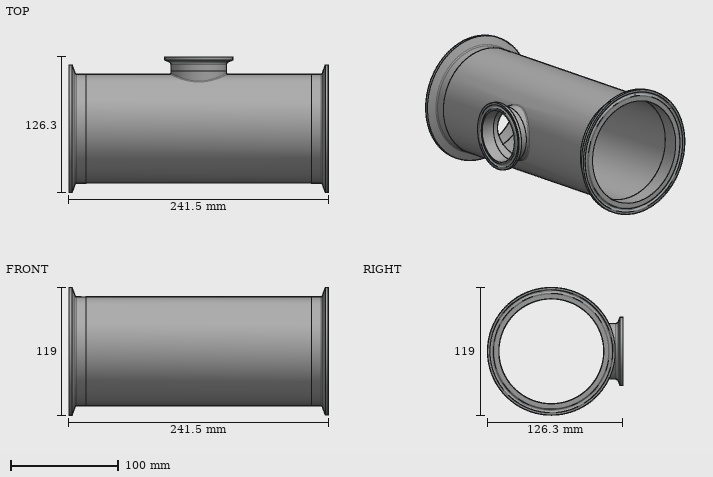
import cadquery as cq
import math

overall_length = 241.5
tube_outer_radius = 101.6 / 2
tube_inner_radius = 97.5 / 2

end_ferrule_length = 16.0
end_flange_radius = 119.0 / 2

branch_outer_radius = 52.0 / 2
branch_wall = 1.5
branch_inner_radius = branch_outer_radius - branch_wall
branch_ferrule_length = 13.0
branch_flange_radius = 63.7 / 2
overall_depth = 126.3
branch_face_y = overall_depth - end_flange_radius
branch_joint_y = branch_face_y - branch_ferrule_length
branch_root_fillet = 1.0

rim_thickness = 3.0
cone_angle = 20.0
end_neck_fillet = 1.5
branch_neck_fillet = 3.0

end_groove_radius = 55.5
branch_groove_radius = 28.0
groove_half_width = 1.7
groove_depth = 1.5
groove_rim_fillet = 0.5

selection_margin = 0.2
stub_margin = 2.5

tube_length = overall_length - 2 * end_ferrule_length


def make_ferrule(inner_radius, outer_radius, flange_radius, length, groove_radius, neck_fillet):
    """Ferrule on the Z axis: sealing face at z = 0, weld end at z = length."""
    cone_end = rim_thickness + (flange_radius - outer_radius) * math.tan(math.radians(cone_angle))
    blank = (
        cq.Workplane("XZ")
        .moveTo(inner_radius, 0)
        .lineTo(flange_radius, 0)
        .lineTo(flange_radius, rim_thickness)
        .lineTo(outer_radius, cone_end)
        .lineTo(outer_radius, length)
        .lineTo(inner_radius, length)
        .close()
        .revolve(360, (0, 0, 0), (0, 1, 0))
    )
    neck_circle = cq.selectors.BoxSelector(
        (-flange_radius, -flange_radius, cone_end - selection_margin),
        (flange_radius, flange_radius, cone_end + selection_margin),
    )
    blank = blank.edges("%CIRCLE").edges(neck_circle).fillet(neck_fillet)
    groove = (
        cq.Workplane("XZ")
        .moveTo(groove_radius - groove_half_width, 0)
        .threePointArc((groove_radius, groove_depth), (groove_radius + groove_half_width, 0))
        .close()
        .revolve(360, (0, 0, 0), (0, 1, 0))
    )
    ferrule = blank.cut(groove)
    groove_rims = ferrule.edges(
        cq.selectors.BoxSelector(
            (-flange_radius, -flange_radius, -selection_margin),
            (flange_radius, flange_radius, selection_margin)
        )
    ).filter(lambda edge: abs(edge.radius() - groove_radius) < groove_half_width + selection_margin)
    return groove_rims.fillet(groove_rim_fillet)


def make_tube():
    """Main tube with its open branch stub."""
    tube = cq.Workplane("YZ").circle(tube_outer_radius).extrude(tube_length / 2, both=True)
    stub = cq.Workplane("XZ").circle(branch_outer_radius).extrude(-branch_joint_y)
    body = tube.union(stub)
    root_region = cq.selectors.BoxSelector(
        (-branch_outer_radius - stub_margin, stub_margin, -branch_outer_radius - stub_margin),
        (branch_outer_radius + stub_margin, branch_joint_y - selection_margin, branch_outer_radius + stub_margin),
    )
    body = body.edges(root_region).edges("not %LINE").edges("not %CIRCLE").fillet(branch_root_fillet)
    bore = cq.Workplane("YZ").circle(tube_inner_radius).extrude(tube_length / 2, both=True)
    branch_bore = cq.Workplane("XZ").circle(branch_inner_radius).extrude(-branch_joint_y)
    return body.cut(bore).cut(branch_bore)


tube = make_tube()

end_ferrules = []
for side in (-1, 1):
    ferrule = make_ferrule(
        tube_inner_radius, tube_outer_radius, end_flange_radius,
        end_ferrule_length, end_groove_radius, end_neck_fillet,
    )
    ferrule = ferrule.rotate((0, 0, 0), (0, 1, 0), -side * 90)
    end_ferrules.append(ferrule.translate((side * overall_length / 2, 0, 0)))

branch_ferrule = make_ferrule(
    branch_inner_radius, branch_outer_radius, branch_flange_radius,
    branch_ferrule_length, branch_groove_radius, branch_neck_fillet,
)
branch_ferrule = branch_ferrule.rotate((0, 0, 0), (1, 0, 0), 90).translate((0, branch_face_y, 0))

result = cq.Compound.makeCompound(
    [tube.val(), *[ferrule.val() for ferrule in end_ferrules], branch_ferrule.val()]
)